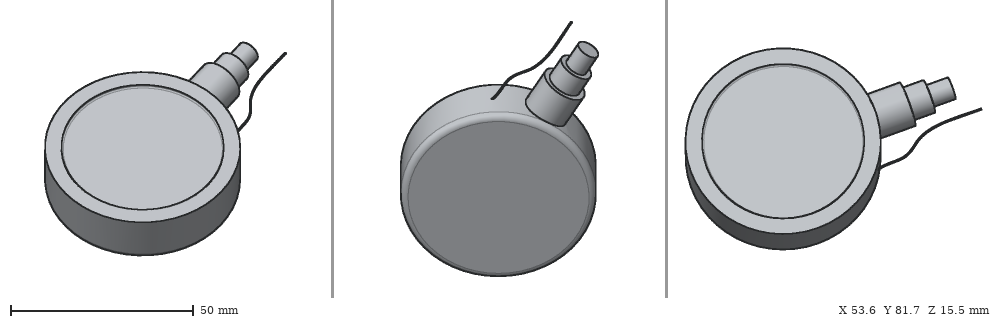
import cadquery as cq

body_diameter = 53.6
body_height = 15.5
bottom_fillet = 2.0

recess_diameter = 44.5
recess_depth = 0.8
recess_fillet = 0.4

axis_height = 8.4
gland_steps = [(12.7, 36.4), (9.55, 42.8), (6.4, 49.4)]

wire_diameter = 0.4
overall_length = 81.65
wire_end_y = overall_length - body_diameter / 2
wire_path = [
    (8.5, wire_end_y),
    (8.4, 46.2),
    (8.9, 40.6),
    (10.6, 35.8),
    (12.7, 32.8),
    (14.0, 30.1),
    (14.2, 27.0),
    (14.4, 23.9),
    (15.35, 21.2),
]


def make_body():
    body = cq.Workplane("XY").circle(body_diameter / 2).extrude(body_height)
    return body.faces("<Z").edges().fillet(bottom_fillet)


def recess_cutter():
    floor = cq.Workplane("XY").workplane(offset=body_height - recess_depth)
    cutter = floor.circle(recess_diameter / 2).extrude(recess_depth)
    return cutter.faces("<Z").edges().fillet(recess_fillet)


def gland_step(diameter, end_y):
    start_y = body_diameter / 4
    plane = cq.Plane(origin=(0, start_y, axis_height), xDir=(1, 0, 0), normal=(0, 1, 0))
    return cq.Workplane(plane).circle(diameter / 2).extrude(end_y - start_y)


def make_wire():
    path = cq.Workplane("XY").workplane(offset=axis_height).spline(wire_path, tangents=[(0, -1), (1, -1)])
    start_x, start_y = wire_path[0]
    plane = cq.Plane(origin=(start_x, start_y, axis_height), xDir=(1, 0, 0), normal=(0, -1, 0))
    return cq.Workplane(plane).circle(wire_diameter / 2).sweep(path)


result = make_body()
for step_diameter, step_end in gland_steps:
    result = result.union(gland_step(step_diameter, step_end))
result = result.union(make_wire())
result = result.cut(recess_cutter())